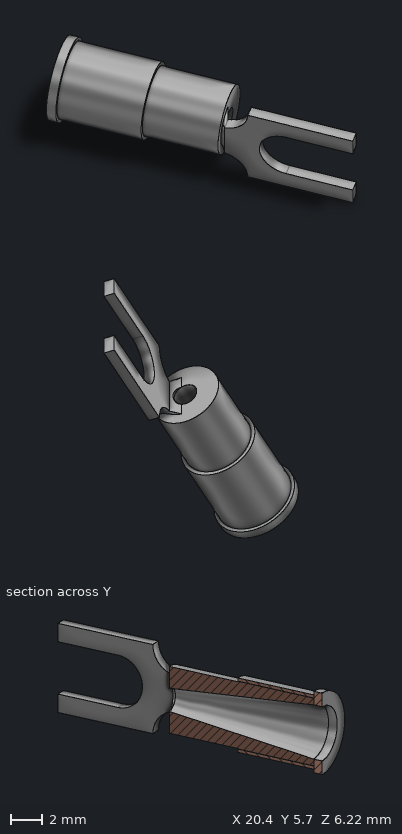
import cadquery as cq
import math

overall_length = 20.38
flange_end = 0.65
sleeve_end = 6.34
barrel_end = 11.45
neck_end = 11.72
arm_start = 13.27
slot_bottom = 14.06

flange_radius = 2.85
sleeve_radius = 2.6
barrel_radius = 2.35
entry_radius = 1.87
exit_radius = 0.8

fork_width = 6.22
slot_width = 3.63
plate_inner_y = -1.02
plate_outer_y = -1.75
plate_thickness = plate_inner_y - plate_outer_y
scallop_radius = 1.85

root_top_y = -0.29
root_half_width = 1.57
root_corner_y = -1.35
root_corner_half_width = 1.05
root_side_y = -0.85
root_side_half_width = 1.43


def ring(start, end, outer_radius, start_bore, end_bore):
    """Ring about X with a straight outside and a straight or conical bore."""
    section = [(start, start_bore), (start, outer_radius), (end, outer_radius), (end, end_bore)]
    return cq.Workplane("XY").polyline(section).close().revolve(360, (0, 0, 0), (1, 0, 0))


def make_flange():
    return ring(0, flange_end, flange_radius, entry_radius, entry_radius)


def make_barrel():
    """Tube whose conical bore narrows steadily from the flange to the neck."""
    return ring(flange_end, barrel_end, barrel_radius, entry_radius, exit_radius)


def make_sleeve():
    """Thin sleeve over the rear part of the barrel, against the flange."""
    return ring(flange_end, sleeve_end, sleeve_radius, barrel_radius, barrel_radius)


scallop_center_x = arm_start - scallop_radius
scallop_center_z = fork_width / 2


def scallop_z(x):
    """Height of the upper scallop arc at a given X."""
    return scallop_center_z - math.sqrt(scallop_radius**2 - (x - scallop_center_x) ** 2)


neck_half_width = scallop_z(neck_end)


def make_plate():
    """Two-armed plate with scalloped shoulders and a round-bottomed slot."""
    half_width = fork_width / 2
    middle_x = scallop_center_x + scallop_radius * math.sin(math.pi / 4)
    middle_z = scallop_z(middle_x)
    blank = (
        cq.Workplane("XZ", origin=(0, plate_inner_y, 0))
        .moveTo(neck_end, -neck_half_width)
        .lineTo(neck_end, neck_half_width)
        .threePointArc((middle_x, middle_z), (arm_start, half_width))
        .lineTo(overall_length, half_width)
        .lineTo(overall_length, -half_width)
        .lineTo(arm_start, -half_width)
        .threePointArc((middle_x, -middle_z), (neck_end, -neck_half_width))
        .close()
        .extrude(plate_thickness)
    )
    slot_radius = slot_width / 2
    slot_center_x = slot_bottom + slot_radius
    slot = (
        cq.Workplane("XZ", origin=(0, plate_inner_y, 0))
        .moveTo(overall_length, slot_radius)
        .lineTo(slot_center_x, slot_radius)
        .threePointArc((slot_bottom, 0), (slot_center_x, -slot_radius))
        .lineTo(overall_length, -slot_radius)
        .close()
        .extrude(plate_thickness)
    )
    return blank.cut(slot)


def make_neck():
    """Blend from a rounded root on the barrel end to the rectangular plate."""
    neck = (
        cq.Workplane("YZ", origin=(barrel_end, 0, 0))
        .moveTo(root_top_y, root_half_width)
        .threePointArc((root_side_y, root_side_half_width), (root_corner_y, root_corner_half_width))
        .threePointArc((plate_outer_y, 0), (root_corner_y, -root_corner_half_width))
        .threePointArc((root_side_y, -root_side_half_width), (root_top_y, -root_half_width))
        .close()
        .workplane(offset=neck_end - barrel_end)
        .moveTo(plate_inner_y, neck_half_width)
        .lineTo(plate_outer_y, neck_half_width)
        .lineTo(plate_outer_y, -neck_half_width)
        .lineTo(plate_inner_y, -neck_half_width)
        .close()
        .loft(ruled=True)
    )
    hole = (
        cq.Workplane("YZ", origin=(barrel_end, 0, 0))
        .circle(exit_radius)
        .extrude(neck_end - barrel_end)
    )
    return neck.cut(hole)


def make_fork():
    return make_plate().union(make_neck())


flange = make_flange()
sleeve = make_sleeve()
barrel = make_barrel()
fork = make_fork()

result = cq.Compound.makeCompound([flange.val(), sleeve.val(), barrel.val(), fork.val()])